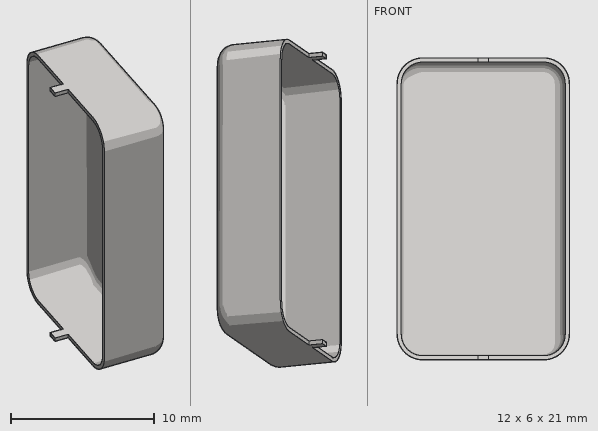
import cadquery as cq

width = 12.0
height = 21.0
overall_depth = 6.0
tab_length = 1.0
cover_depth = overall_depth - tab_length

wall = 0.3
corner_radius = 1.8
back_fillet = 1.0
tab_width = 0.75


def rounded_block(inset):
    """Block inset from the outer surface on its sides and back, with concentric rounding."""
    depth = cover_depth - inset
    return (
        cq.Workplane("XY")
        .box(width - 2 * inset, depth, height - 2 * inset, centered=(True, False, True))
        .edges("|Y")
        .fillet(corner_radius - inset)
        .faces(">Y")
        .edges()
        .fillet(back_fillet - inset)
    )


def rim_tab(side):
    """Locating tab standing on the rim, flush with the top (+1) or bottom (-1) face."""
    tab_center_z = side * (height - wall) / 2
    return (
        cq.Workplane("XY")
        .box(tab_width, tab_length + wall, wall, centered=(True, False, True))
        .translate((0, -tab_length, tab_center_z))
    )


result = rounded_block(0).cut(rounded_block(wall))
for side in (1, -1):
    result = result.union(rim_tab(side))